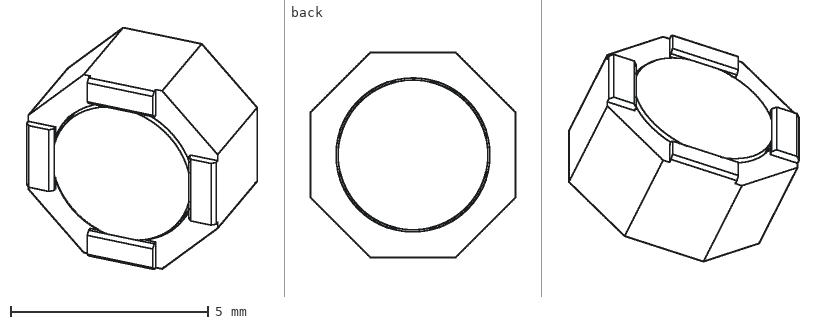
import cadquery as cq
import math

sides = 8
width = 5.2
shell_depth = 2.6
step = 0.1

core_radius = 1.9
gap = 0.05

pad_length = 1.8
pad_width = 0.75
pad_height = 2 * step
pad_count = 4

octagon_diameter = width / math.cos(math.pi / sides)


def make_shell():
    """Octagonal prism with a round bore through it."""
    octagon = (
        cq.Workplane("XZ")
        .transformed(rotate=(0, 0, 180 / sides))
        .polygon(sides, octagon_diameter)
        .extrude(-shell_depth)
    )
    bore = cq.Workplane("XZ").circle(core_radius + gap).extrude(-shell_depth)
    return octagon.cut(bore)


def make_core():
    """Cylinder flush with the back face and proud of the front face."""
    return (
        cq.Workplane("XZ", origin=(0, shell_depth, 0))
        .circle(core_radius)
        .extrude(shell_depth + step)
    )


def make_pad():
    """Pad at the +X side, its two long front edges chamfered."""
    outer = width / 2
    inner = outer - pad_width
    return (
        cq.Workplane("XY", origin=(0, 0, -pad_length / 2))
        .moveTo(inner, 0)
        .lineTo(outer, 0)
        .lineTo(outer, step - pad_height)
        .lineTo(outer - step, -pad_height)
        .lineTo(inner + step, -pad_height)
        .lineTo(inner, step - pad_height)
        .close()
        .extrude(pad_length)
    )


result = make_shell()
pad = make_pad()
for index in range(pad_count):
    angle = index * 360 / pad_count
    result = result.union(pad.rotate((0, 0, 0), (0, 1, 0), angle))
result = result.union(make_core())